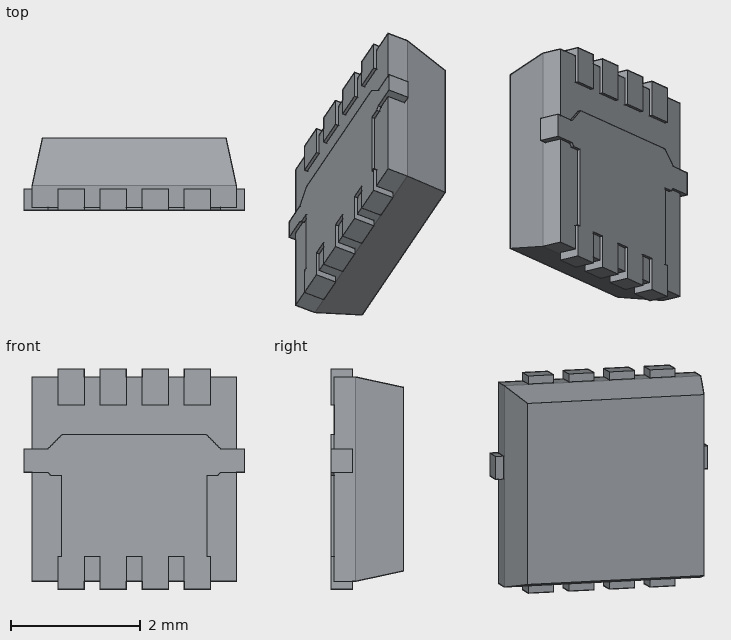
import cadquery as cq

overall_width = 3.4
overall_depth = 1.12

housing_width = 3.152
housing_back_width = 2.832
housing_standoff = 0.048
housing_rim_depth = 0.333

metal_thickness = 0.333
lead_count = 4
lead_pitch = 0.65
lead_width = 0.408
upper_lead_length = 0.558

drain_top_z = 0.69
tab_top_z = 0.465
tab_bottom_z = 0.105
shoulder_drop = 0.05
shoulder_half_width = 1.333
plate_half_width = 1.12
fingers_top_z = -1.195

half_width = overall_width / 2
taper_depth = overall_depth - housing_standoff - housing_rim_depth
top_half_width = shoulder_half_width - (drain_top_z - tab_top_z)
shoulder_bottom_z = tab_bottom_z - shoulder_drop
fingers_length = half_width + fingers_top_z
lead_centers = [(i - (lead_count - 1) / 2) * lead_pitch for i in range(lead_count)]


def front_plane(y):
    """Sketch plane at depth y, with X to the right, Z up and its normal toward -Y."""
    return cq.Workplane("XZ", origin=(0, y, 0))


def make_lead(center_x, bottom_z, length):
    """Rectangular lead, flush with the mounting face."""
    return (
        front_plane(0)
        .center(center_x, bottom_z + length / 2)
        .rect(lead_width, length)
        .extrude(-metal_thickness)
    )


def make_drain():
    """Plate with 45 degree upper corners, a tab on each side and fingers along its lower edge."""
    right_side = [
        (top_half_width, drain_top_z),
        (shoulder_half_width, tab_top_z),
        (half_width, tab_top_z),
        (half_width, tab_bottom_z),
        (shoulder_half_width, tab_bottom_z),
        (shoulder_half_width - shoulder_drop, shoulder_bottom_z),
        (plate_half_width, shoulder_bottom_z),
        (plate_half_width, fingers_top_z),
    ]
    left_side = [(-x, z) for x, z in reversed(right_side)]
    drain = front_plane(0).polyline(right_side + left_side).close().extrude(-metal_thickness)

    for center_x in lead_centers:
        drain = drain.union(make_lead(center_x, -half_width, fingers_length))
    return drain.solids()


def make_housing(embedded_parts):
    """Square rim with a tapered back, recessed to receive the embedded metal parts."""
    rim = front_plane(housing_standoff).rect(housing_width, housing_width).extrude(-housing_rim_depth)
    back = (
        front_plane(housing_standoff + housing_rim_depth)
        .rect(housing_width, housing_width)
        .workplane(offset=-taper_depth)
        .rect(housing_back_width, housing_back_width)
        .loft(combine=True)
    )
    housing = rim.union(back)
    for part in embedded_parts:
        housing = housing.cut(part)
    return housing.solids()


upper_leads = [make_lead(x, half_width - upper_lead_length, upper_lead_length) for x in lead_centers]
drain_plate = make_drain()
housing = make_housing([drain_plate, *upper_leads])

result = cq.Compound.makeCompound(
    [housing.val(), drain_plate.val(), *[lead.val() for lead in upper_leads]]
)